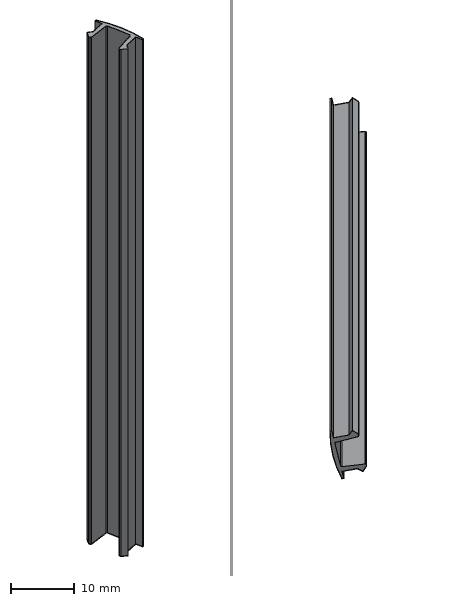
import cadquery as cq

length = 100.0
width = 9.0
depth = 4.8

crown_rise = 0.5
edge_thickness = 0.3
plate_underside = -(crown_rise + edge_thickness)

leg_outer = 3.2
leg_inner_root = 2.3
root_chamfer = 0.2
leg_inner_end = 2.6
foot_chamfer = 0.15
foot_flat = 0.3

barb_reach = 0.7
barb_start = -3.3
barb_tip = -4.0


def make_plate():
    half_width = width / 2
    return (
        cq.Workplane("XY")
        .moveTo(-half_width, plate_underside)
        .lineTo(half_width, plate_underside)
        .lineTo(half_width, -crown_rise)
        .threePointArc((0, 0), (-half_width, -crown_rise))
        .close()
        .extrude(length)
    )


def make_leg(side):
    """Leg on the +X side (side = 1) or the -X side (side = -1)."""
    root = -crown_rise
    foot_inner = leg_inner_end + foot_chamfer
    outline = [
        (leg_inner_root - root_chamfer, root),
        (leg_inner_root - root_chamfer, plate_underside),
        (leg_inner_root, plate_underside - root_chamfer),
        (leg_inner_end, -depth + foot_chamfer),
        (foot_inner, -depth),
        (foot_inner + foot_flat, -depth),
        (leg_outer + barb_reach, barb_tip),
        (leg_outer, barb_start),
        (leg_outer, root),
    ]
    points = [(side * x, y) for x, y in outline]
    return cq.Workplane("XY").polyline(points).close().extrude(length)


result = make_plate()
for side in (-1, 1):
    result = result.union(make_leg(side))